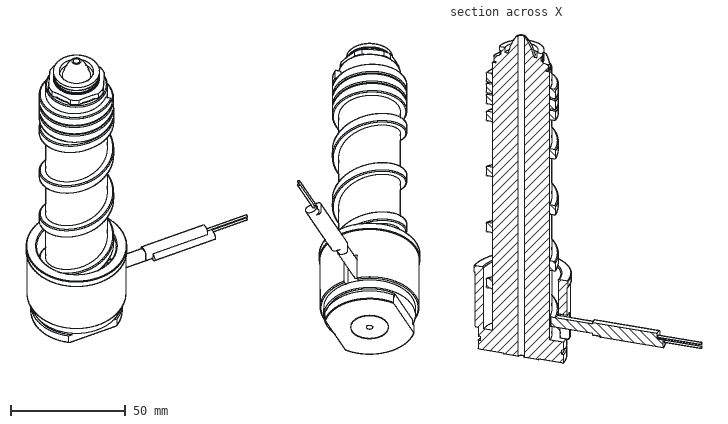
import cadquery as cq
import math

bore_radius = 1.4
seat_radius = 8.2
base_z = 0.3
base_radius = 20.0
base_chamfer = 0.3
groove_radius = 19.0
groove_bottom_z = 4.6
ring_bottom_z = 6.5
flat_half_width = 16.1

housing_bottom_z = 10.7
housing_top_z = 40.5
housing_chamfer = 0.5
rim_radius = 22.0
rim_lip = 0.39
housing_radius = rim_radius - rim_lip
rim_height = 3.4
rim_chamfer = 0.3
pocket_radius = 17.3
pocket_chamfer = 0.5
slot_width = 6.2
slot_top_z = 23.7

shank_radius = 13.5
shank_top_z = 140.2
shank_chamfer = 0.5
hex_half_width = 11.9
hex_corner_radius = 12.8
hex_bottom_z = 140.7
hex_top_z = 144.1
hex_neck_radius = 11.8
hex_chamfer_height = 0.8
hex_chamfer_radius = 10.0
collar_groove_radius = 9.5
collar_radius = 10.0
collar_bottom_z = 146.3
collar_top_z = 148.5
collar_chamfer = 0.3
collar_step_z = 144.7
tip_recess_radius = 7.5
tip_recess_depth = 2.5
tip_base_radius = 6.2
tip_shoulder_radius = 5.0
tip_shoulder_z = 149.8
tip_middle_radius = 3.7
tip_middle_z = 152.5
tip_end_radius = 2.0
total_height = 154.8

coil_outer_radius = 16.3
coil_height = 4.8
coil_chamfer = 0.5
coil_top_z = 136.8
coil_start_angle = 45.0
coil_end_angle = 90.0
tight_pitch = 5.3
tight_turns = 3 + coil_start_angle / 360
step_pitch = 17.0
step_turns = 0.3
loose_pitch = 27.1
loose_turns = 4 - step_turns - coil_end_angle / 360

stub_left_x = -3.0
stub_width = 4.2
stub_corner_radius = 0.8
stub_shank_gap = 0.5
sleeve_start_y = 33.3
sleeve_end_y = 63.5
sleeve_left_x = -3.5
sleeve_width = 4.3
sleeve_bottom_z = 16.1
sleeve_height = 6.5
sleeve_corner_radius = 1.4
tube_start_y = 36.8
tube_end_y = 66.4
tube_half_width = 2.6
tube_half_height = 2.0
tube_z = 17.8
wire_end_y = 83.6
wire_radius = 0.54
wire_spacing = 1.9
wire_pair_z = 19.4


def cylinder(radius, bottom_z, top_z):
    """Round disc or post on the Z axis."""
    return cq.Workplane("XY", origin=(0, 0, bottom_z)).circle(radius).extrude(top_z - bottom_z)


def box_along_y(left_x, width, bottom_z, height, start_y, end_y):
    """Box placed by its left, bottom and near faces."""
    box = cq.Workplane("XY").box(width, end_y - start_y, height, centered=False)
    return box.translate((left_x, start_y, bottom_z))


def make_base():
    """Seat, grooved base with two wrench flats, and the ring below the housing."""
    seat = cylinder(seat_radius, 0, base_z)
    foot = cylinder(base_radius, base_z, groove_bottom_z).faces("<Z").chamfer(base_chamfer)
    neck = cylinder(groove_radius, groove_bottom_z, ring_bottom_z)
    flats = cq.Workplane("XY").box(2 * flat_half_width, 2 * base_radius, 2 * ring_bottom_z)
    ring = cylinder(base_radius, ring_bottom_z, housing_bottom_z)
    return foot.union(neck).intersect(flats).union(seat).union(ring)


def make_housing():
    """Cup with a rim, an open pocket and a slot in its +Y wall."""
    rim_bottom_z = housing_top_z - rim_height
    cup = cylinder(housing_radius, housing_bottom_z, rim_bottom_z)
    cup = cup.faces("<Z").chamfer(housing_chamfer)
    rim = cylinder(rim_radius, rim_bottom_z, housing_top_z).faces("<Z or >Z").chamfer(rim_chamfer)
    pocket = cylinder(pocket_radius, housing_bottom_z, housing_top_z)
    slot_height = slot_top_z - housing_bottom_z
    slot = box_along_y(-slot_width / 2, slot_width, housing_bottom_z, slot_height, 0, rim_radius)
    cup = cup.union(rim).cut(pocket)
    mouth_edge = cq.selectors.RadiusNthSelector(0)
    cup = cup.faces(">Z").edges(mouth_edge).chamfer(pocket_chamfer)
    return cup.cut(slot)


def make_hex():
    """Hexagon with turned corners and a conical upper chamfer."""
    across_corners = 2 * hex_half_width / math.cos(math.radians(30))
    hexagon = (
        cq.Workplane("XY", origin=(0, 0, hex_bottom_z))
        .polygon(6, across_corners)
        .extrude(hex_top_z - hex_bottom_z)
        .rotate((0, 0, 0), (0, 0, 1), 30)
    )
    blank = (
        cq.Workplane("XZ")
        .moveTo(0, hex_bottom_z)
        .lineTo(hex_corner_radius, hex_bottom_z)
        .lineTo(hex_corner_radius, hex_top_z - hex_chamfer_height)
        .lineTo(hex_chamfer_radius, hex_top_z)
        .lineTo(0, hex_top_z)
        .close()
        .revolve(360, (0, 0, 0), (0, 1, 0))
    )
    return hexagon.intersect(blank)


def make_collar():
    step = cylinder(collar_radius, hex_top_z, collar_step_z).faces(">Z").chamfer(collar_chamfer)
    neck = cylinder(collar_groove_radius, collar_step_z, collar_bottom_z)
    collar = cylinder(collar_radius, collar_bottom_z, collar_top_z)
    collar = collar.faces("<Z").chamfer(collar_chamfer)
    recess = cylinder(tip_recess_radius, collar_top_z - tip_recess_depth, collar_top_z)
    return step.union(neck).union(collar).cut(recess)


def make_tip():
    """Bulged nose standing in the collar recess."""
    bottom_z = collar_top_z - tip_recess_depth
    return (
        cq.Workplane("XZ")
        .moveTo(0, bottom_z)
        .lineTo(tip_base_radius, bottom_z)
        .lineTo(tip_shoulder_radius, tip_shoulder_z)
        .threePointArc((tip_middle_radius, tip_middle_z), (tip_end_radius, total_height))
        .lineTo(0, total_height)
        .close()
        .revolve(360, (0, 0, 0), (0, 1, 0))
    )


def make_nozzle():
    shank = cylinder(shank_radius, housing_bottom_z, shank_top_z).faces(">Z").chamfer(shank_chamfer)
    neck = cylinder(hex_neck_radius, shank_top_z, hex_bottom_z)
    nozzle = make_base()
    for piece in (make_housing(), shank, neck, make_hex(), make_collar(), make_tip()):
        nozzle = nozzle.union(piece)
    return nozzle.cut(cylinder(bore_radius, 0, total_height))


def coil_stretch(pitch, turns, top_z, top_angle):
    """Strip with chamfered outer edges, wound down from top_z at top_angle (degrees)."""
    drop = pitch * turns
    path = cq.Wire.makeHelix(pitch, drop, shank_radius)
    section = (
        cq.Workplane("XZ")
        .moveTo(shank_radius, 0)
        .lineTo(coil_outer_radius - coil_chamfer, 0)
        .lineTo(coil_outer_radius, coil_chamfer)
        .lineTo(coil_outer_radius, coil_height - coil_chamfer)
        .lineTo(coil_outer_radius - coil_chamfer, coil_height)
        .lineTo(shank_radius, coil_height)
        .close()
    )
    strip = section.sweep(cq.Workplane(obj=path), isFrenet=True)
    strip = strip.rotate((0, 0, 0), (0, 0, 1), top_angle - 360 * turns)
    return strip.translate((0, 0, top_z - drop - coil_height))


def make_coil():
    """Three stretches joined end to end: tight, stepping over, and loose."""
    top_z = coil_top_z
    angle = coil_start_angle
    coil = None
    for pitch, turns in (
        (tight_pitch, tight_turns),
        (step_pitch, step_turns),
        (loose_pitch, loose_turns),
    ):
        stretch = coil_stretch(pitch, turns, top_z, angle)
        coil = stretch if coil is None else coil.union(stretch)
        top_z -= pitch * turns
        angle -= 360 * turns
    return coil, top_z


def make_lead(top_z):
    """Stub, rounded sleeve, oval tube and two wires, all running along +Y."""
    stub_bottom_z = top_z - coil_height
    stub_start_y = shank_radius + stub_shank_gap
    stub = box_along_y(stub_left_x, stub_width, stub_bottom_z, coil_height, stub_start_y, sleeve_start_y)
    stub = stub.edges("|Y").fillet(stub_corner_radius)
    sleeve = box_along_y(
        sleeve_left_x, sleeve_width, sleeve_bottom_z, sleeve_height, sleeve_start_y, sleeve_end_y
    )
    sleeve = sleeve.edges("|Y").fillet(sleeve_corner_radius)
    middle_x = sleeve_left_x + sleeve_width / 2
    tube = (
        cq.Workplane("XZ", origin=(0, tube_start_y, tube_z))
        .ellipse(tube_half_width, tube_half_height)
        .extrude(tube_start_y - tube_end_y)
    )
    lead = stub.union(sleeve).union(tube)
    for side in (-1, 1):
        wire_z = wire_pair_z + side * wire_spacing / 2
        wire = (
            cq.Workplane("XZ", origin=(middle_x, sleeve_start_y, wire_z))
            .circle(wire_radius)
            .extrude(sleeve_start_y - wire_end_y)
        )
        lead = lead.union(wire)
    return lead


def make_heater():
    """Coil wrapped on the shank, and its lead, as one solid."""
    coil, coil_end_z = make_coil()
    return coil.union(make_lead(coil_end_z))


nozzle = make_nozzle()
heater = make_heater()
result = cq.Compound.makeCompound([nozzle.solids().val(), heater.solids().val()])